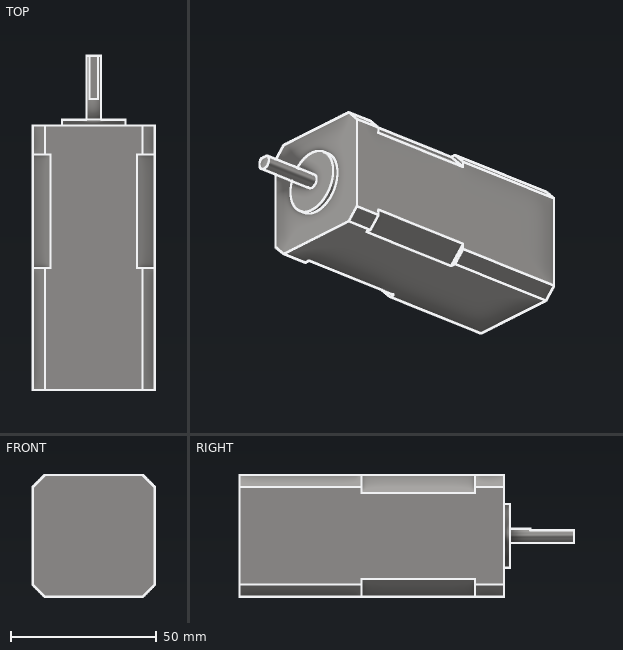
import cadquery as cq

body_width = 42.0
body_length = 91.0
end_chamfer = 4.2

stator_start = 10.0
stator_length = 39.0
stator_chamfer = 6.2

pilot_diameter = 22.0
pilot_height = 2.0

shaft_diameter = 5.0
shaft_length = 24.0
flat_length = 15.0
flat_depth = 0.5


def body_section(front_y, length, chamfer):
    """Square section with chamfered corners, reaching back from front_y."""
    return (
        cq.Workplane("XZ", origin=(0, front_y, 0))
        .rect(body_width, body_width)
        .extrude(length)
        .edges("|Y")
        .chamfer(chamfer)
    )


def make_body():
    """Front cap, stator and rear cap, stacked along -Y."""
    rear_start = stator_start + stator_length
    front_cap = body_section(0, stator_start, end_chamfer)
    stator = body_section(-stator_start, stator_length, stator_chamfer)
    rear_cap = body_section(-rear_start, body_length - rear_start, end_chamfer)
    return front_cap.union(stator).union(rear_cap)


def cylinder(diameter, length):
    """Cylinder standing on the mounting face and pointing along +Y."""
    return cq.Workplane("XZ").circle(diameter / 2).extrude(-length)


def make_shaft():
    """Output shaft with a flat on its +Z side at the free end."""
    flat_cut = cq.Workplane("XY").box(
        shaft_diameter, flat_length, flat_depth, centered=(True, False, False)
    ).translate((0, shaft_length - flat_length, shaft_diameter / 2 - flat_depth))
    return cylinder(shaft_diameter, shaft_length).cut(flat_cut)


result = make_body().union(cylinder(pilot_diameter, pilot_height)).union(make_shaft())